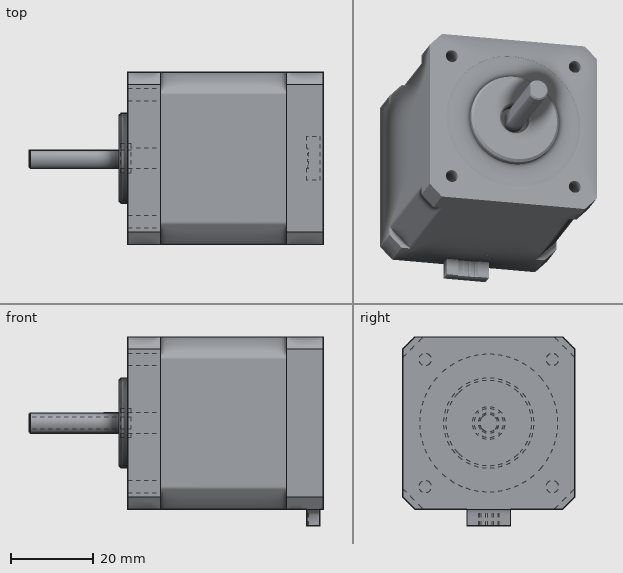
import cadquery as cq


frame_width = 42.0
overall_length = 71.7
shaft_reach = 24.0
motor_length = overall_length - shaft_reach

front_cap_length = 8.0
stator_length = 30.6
rear_cap_start = front_cap_length + stator_length
rear_cap_length = motor_length - rear_cap_start
cap_corner_chamfer = 3.0
stator_corner_chamfer = 5.1
stator_edge_radius = 1.0

pilot_diameter = 22.0
pilot_height = 2.15
pilot_chamfer = 0.6
face_recess_diameter = 33.6
face_recess_depth = 0.1
screw_spacing = 31.0
screw_hole_diameter = 3.0
clearance_diameter = 7.1
clearance_depth = 3.0
clearance_chamfer = 0.4

shaft_diameter = 5.0
shaft_tip_chamfer = 0.35
shaft_flat_offset = 2.0

connector_thickness = 3.2
connector_width = 10.6
connector_height = 4.0
connector_rear_gap = 0.85
slot_width = 4.95
slot_depth = 0.4
rib_count = 4
rib_pitch = 1.5
rib_width = 0.4
rib_height = 0.2
rib_row_offset = 0.2

pilot_front = -pilot_height
clearance_floor = pilot_front + clearance_depth


def disc(diameter, start, end):
    """Cylinder around the shaft axis from X = start to X = end."""
    return cq.Workplane("YZ", origin=(start, 0, 0)).circle(diameter / 2).extrude(end - start)


def chamfered_block(start, length, chamfer):
    """Square block along X with its four long edges chamfered."""
    block = cq.Workplane("YZ", origin=(start, 0, 0)).rect(frame_width, frame_width).extrude(length)
    return block.edges("|X").chamfer(chamfer)


def make_front_cap():
    cap = chamfered_block(0, front_cap_length, cap_corner_chamfer)
    cap = cap.cut(disc(face_recess_diameter, 0, face_recess_depth))

    pilot = disc(pilot_diameter, pilot_front, front_cap_length)
    cap = cap.union(pilot.faces("<X").chamfer(pilot_chamfer))

    cap = cap.cut(disc(clearance_diameter, pilot_front, clearance_floor))
    cap = cap.faces("<X").edges(cq.selectors.RadiusNthSelector(0)).chamfer(clearance_chamfer)
    cap = cap.cut(disc(shaft_diameter, pilot_front, front_cap_length))

    screw_holes = (
        cq.Workplane("YZ")
        .rect(screw_spacing, screw_spacing, forConstruction=True)
        .vertices()
        .circle(screw_hole_diameter / 2)
        .extrude(front_cap_length)
    )
    return cap.cut(screw_holes)


def make_stator():
    stator = chamfered_block(front_cap_length, stator_length, stator_corner_chamfer)
    return stator.edges("|X").fillet(stator_edge_radius)


def make_rear_cap():
    return chamfered_block(rear_cap_start, rear_cap_length, cap_corner_chamfer)


def make_shaft():
    shaft = disc(shaft_diameter, -shaft_reach, front_cap_length)
    shaft = shaft.faces("<X").chamfer(shaft_tip_chamfer)

    flat_cut = cq.Workplane("XY").box(
        shaft_reach + clearance_floor, shaft_diameter, shaft_diameter, centered=(False, False, True)
    )
    return shaft.cut(flat_cut.translate((-shaft_reach, shaft_flat_offset, 0)))


def make_connector():
    """Box under the rear cap with a ribbed slot down its -X face."""
    front = motor_length - connector_rear_gap - connector_thickness
    bottom = -frame_width / 2 - connector_height
    upright = (False, True, False)

    body = cq.Workplane("XY").box(connector_thickness, connector_width, connector_height, centered=upright)
    slot = cq.Workplane("XY").box(slot_depth, slot_width, connector_height, centered=upright)
    connector = body.cut(slot)

    rib = cq.Workplane("XY").box(rib_height, rib_width, connector_height, centered=upright)
    for index in range(rib_count):
        rib_y = rib_row_offset + (index - (rib_count - 1) / 2) * rib_pitch
        connector = connector.union(rib.translate((slot_depth - rib_height, rib_y, 0)))
    return connector.translate((front, 0, bottom))


front_cap = make_front_cap()
stator = make_stator()
rear_cap = make_rear_cap()
shaft = make_shaft()
connector = make_connector()

result = cq.Compound.makeCompound(
    [front_cap.val(), stator.val(), rear_cap.val(), shaft.val(), connector.val()]
)